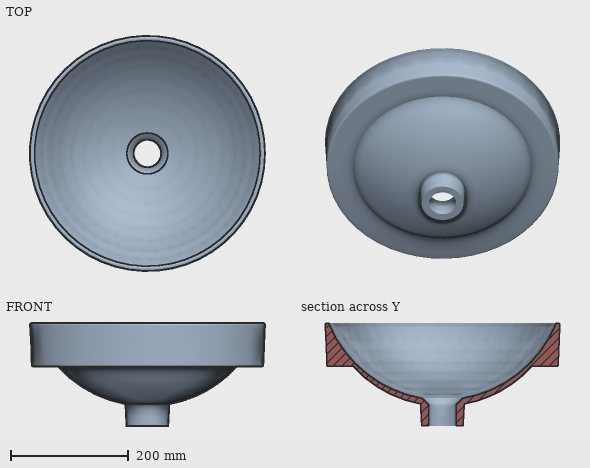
import cadquery as cq
import math


rim_radius = 200.0
drum_bottom_radius = 197.0
drum_height = 74.5
rim_outer_round = 4.0
rim_flat_width = 1.0
drum_bottom_round = 4.0

bowl_edge_radius = 191.5
bowl_edge_depth = 4.0
seat_radius = 35.0
seat_depth = 127.5
drain_radius = 23.0
drain_depth = 138.5

belly_top_radius = 151.5
spout_top_radius = 37.5
spout_bottom_radius = 35.5
spout_top_depth = 138.0
total_height = 175.0


def sphere_center_height(upper, lower):
    """Height on the Z axis of the circle centre equally far from two (radius, z) points."""
    upper_r, upper_z = upper
    lower_r, lower_z = lower
    squares = upper_r**2 + upper_z**2 - lower_r**2 - lower_z**2
    return squares / (2 * (upper_z - lower_z))


def spherical_midpoint(upper, lower):
    """Point at the middle radius of the axis-centred arc joining two (radius, z) points."""
    center_z = sphere_center_height(upper, lower)
    sphere_radius = math.hypot(upper[0], upper[1] - center_z)
    middle_r = (upper[0] + lower[0]) / 2
    return middle_r, center_z - math.sqrt(sphere_radius**2 - middle_r**2)


def quarter_round_midpoint(start, end, corner):
    """Middle of the elliptic quarter round that replaces a square corner."""
    bulge = math.sqrt(0.5)
    return tuple(
        s + e - c + bulge * (2 * c - s - e) for s, e, c in zip(start, end, corner)
    )


rim_outer = (rim_radius, -rim_outer_round)
flat_outer = (rim_radius - rim_outer_round, 0)
flat_inner = (flat_outer[0] - rim_flat_width, 0)
bowl_edge = (bowl_edge_radius, -bowl_edge_depth)
seat_edge = (seat_radius, -seat_depth)
belly_top = (belly_top_radius, -drum_height)
spout_top = (spout_top_radius, -spout_top_depth)
drum_side_end = (drum_bottom_radius, -drum_height + drum_bottom_round)
drum_base_edge = (drum_bottom_radius - drum_bottom_round, -drum_height)

profile = (
    cq.Workplane("XZ")
    .moveTo(drain_radius, -total_height)
    .lineTo(drain_radius, -drain_depth)
    .lineTo(*seat_edge)
    .threePointArc(spherical_midpoint(bowl_edge, seat_edge), bowl_edge)
    .threePointArc(
        quarter_round_midpoint(bowl_edge, flat_inner, (bowl_edge_radius, 0)), flat_inner
    )
    .lineTo(*flat_outer)
    .threePointArc(
        quarter_round_midpoint(flat_outer, rim_outer, (rim_radius, 0)), rim_outer
    )
    .lineTo(*drum_side_end)
    .threePointArc(
        quarter_round_midpoint(
            drum_side_end, drum_base_edge, (drum_bottom_radius, -drum_height)
        ),
        drum_base_edge,
    )
    .lineTo(*belly_top)
    .threePointArc(spherical_midpoint(belly_top, spout_top), spout_top)
    .lineTo(spout_bottom_radius, -total_height)
    .close()
)

result = profile.revolve(360, (0, 0, 0), (0, 1, 0))